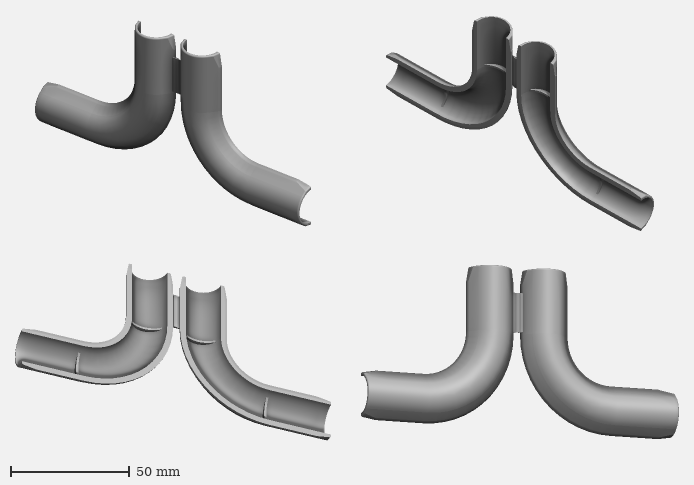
import cadquery as cq
import math

overall_length = 140.4
overall_height = 68.7
bend_radius = 30.0

pipe_depth = 9.0
flank_start_x = 7.0
side_radius = 3.1
flank_sin = flank_start_x / pipe_depth
flank_cos = math.sqrt(1 - flank_sin**2)
side_centre_x = (pipe_depth - side_radius) / flank_sin
half_width = side_centre_x + side_radius

arm_length = overall_height - bend_radius - half_width
arm_centre_x = overall_length / 2 - arm_length - bend_radius

bore_radius = 8.0
stop_thickness = 1.0
stop_opening_depth = 6.3
stop_arch_radius = 11.2

end_half_width = 9.5
taper_length = 6.5
taper_lean = 0.26
rim_radius = 0.7

web_length = 17.0
web_end_offset = 10.1
web_front_y = -2.0
rib_width = 1.7
rib_thickness = 0.8
strip_thickness = 0.4
groove_x = 1.0
groove_width = 0.5
groove_depth = 0.1


def outer_section():
    """Closed profile of the half pipe's outside, split along y = 0."""
    flank_start_y = -pipe_depth * flank_cos
    flank_end_x = side_centre_x + side_radius * flank_sin
    flank_end_y = -side_radius * flank_cos
    side_mid_angle = math.acos(flank_sin) / 2
    side_mid_x = side_centre_x + side_radius * math.cos(side_mid_angle)
    side_mid_y = -side_radius * math.sin(side_mid_angle)
    return (
        cq.Sketch()
        .segment((-half_width, 0), (half_width, 0))
        .arc((half_width, 0), (side_mid_x, side_mid_y), (flank_end_x, flank_end_y))
        .segment((flank_end_x, flank_end_y), (flank_start_x, flank_start_y))
        .arc((flank_start_x, flank_start_y), (0, -pipe_depth), (-flank_start_x, flank_start_y))
        .segment((-flank_start_x, flank_start_y), (-flank_end_x, flank_end_y))
        .arc((-flank_end_x, flank_end_y), (-side_mid_x, side_mid_y), (-half_width, 0))
        .assemble()
    )


def stop_opening():
    """Solid filling the passage through an arm's stop lip, up to the lip's flatter arched edge."""
    bore = cq.Workplane("XY").circle(bore_radius).extrude(stop_thickness)
    arch_centre_y = stop_arch_radius - stop_opening_depth
    arch = cq.Workplane("XY").center(0, arch_centre_y).circle(stop_arch_radius).extrude(stop_thickness)
    return bore.intersect(arch)


def side_taper():
    """Wedge that cuts the tapered flat on the +X side of an upright arm's top end."""

    def wedge_profile(flat_x, z):
        deep_x = flat_x - taper_lean * pipe_depth
        corners = [
            cq.Vector(flat_x, 0, z),
            cq.Vector(flat_x + half_width, 0, z),
            cq.Vector(deep_x + half_width, -pipe_depth, z),
            cq.Vector(deep_x, -pipe_depth, z),
        ]
        return cq.Wire.makePolygon(corners, close=True)

    lower = wedge_profile(half_width, arm_length - taper_length)
    upper = wedge_profile(end_half_width, arm_length)
    return cq.Workplane(cq.Solid.makeLoft([lower, upper], True))


def straight_arm():
    """Upright arm rising from its stop lip at z = 0, with its free end at the top."""
    taper = side_taper()
    arm = cq.Workplane("XY").placeSketch(outer_section()).extrude(arm_length)
    arm = arm.cut(taper).cut(taper.mirror("YZ"))
    rim = arm.faces(">Z").edges("not(>Y)")
    arm = arm.newObject(rim.vals()).fillet(rim_radius)
    socket = cq.Workplane("XY", origin=(0, 0, stop_thickness)).circle(bore_radius).extrude(arm_length)
    return arm.cut(socket).cut(stop_opening())


def bend():
    """Quarter turn about the Y axis, from the upright arm's foot to the level arm's inner end."""
    section = outer_section() - cq.Sketch().circle(bore_radius)
    placed = section.moved(cq.Location(cq.Vector(bend_radius, 0, 0)))
    return cq.Workplane("XY").placeSketch(placed).revolve(90, (0, 0, 0), (0, 1, 0))


def elbow():
    """Bend with one arm pointing up and one pointing to -X."""
    arm = straight_arm()
    upright = arm.translate((bend_radius, 0, 0))
    level = arm.rotate((0, 0, 0), (0, 1, 0), -90).translate((0, 0, -bend_radius))
    return upright.union(bend()).union(level)


def web():
    """Ribbed strip between the upright arms, grooved along the front beside the rib."""
    bottom = arm_length - web_end_offset - web_length
    mid_wall_x = (bore_radius + half_width) / 2
    web_width = 2 * (arm_centre_x - mid_wall_x)

    def plate(width, thickness):
        block = cq.Workplane("XY").box(width, thickness, web_length, centered=(True, False, False))
        return block.translate((0, web_front_y, bottom))

    joined = plate(web_width, strip_thickness).union(plate(rib_width, rib_thickness))
    for x in (-groove_x, groove_x):
        groove = (
            cq.Workplane("XY", origin=(x, web_front_y, bottom))
            .polyline([(-groove_width / 2, 0), (groove_width / 2, 0), (0, groove_depth)])
            .close()
            .extrude(web_length)
        )
        joined = joined.cut(groove)
    return joined


left_elbow = elbow().translate((-arm_centre_x - bend_radius, 0, 0))
right_elbow = left_elbow.mirror("YZ")
result = left_elbow.union(right_elbow).union(web())